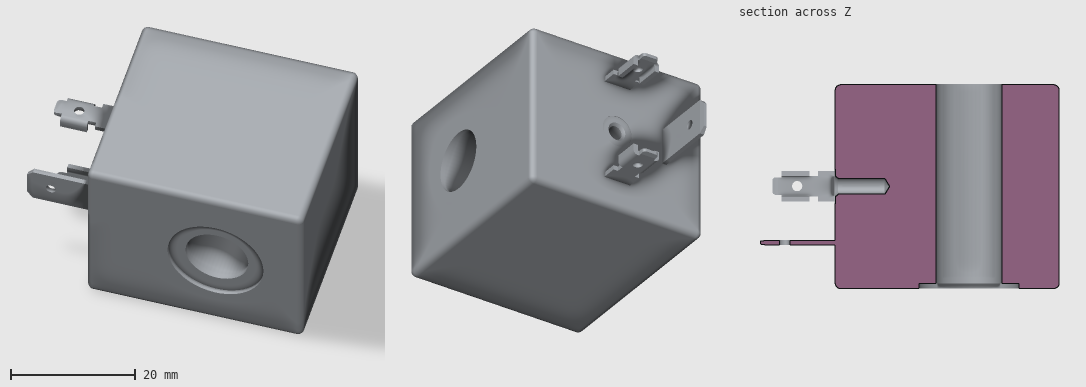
import cadquery as cq
import math


total_length = 48.0
ground_length = 12.0
block_length = total_length - ground_length
block_width = 32.8
block_height = 29.0
edge_radius = 1.0

bore_x = 21.5
bore_diameter = 10.45
recess_diameter = 16.0
recess_depth = 0.8

terminal_axis_y = 0.05

seat_diameter = 5.5
seat_depth = 0.1
screw_diameter = 2.4
screw_mouth_diameter = 3.2
screw_chamfer_depth = 0.5
screw_depth = 8.0
drill_point_angle = 118.0

terminal_offset = 9.0
sheet_thickness = 0.8
terminal_hole_diameter = 1.65
tip_thickness = 0.55
terminal_embed = 0.5

ground_width = 6.3
ground_tip_taper = 1.0
ground_hole_x = 8.0

coil_length = 10.0
coil_width = 4.9
coil_web_width = coil_width - 2 * sheet_thickness
coil_tip_width = 2.8
coil_tip_radius = 0.55
coil_tip_taper = 0.9
coil_hole_x = 6.0
base_end = 2.7
lip_start = 4.05
lip_end = 8.5
lip_height = 1.9
lip_inner_radius = 0.2


def make_block():
    return (
        cq.Workplane("XY")
        .box(block_length, block_width, block_height)
        .translate((block_length / 2, 0, 0))
        .edges()
        .fillet(edge_radius)
    )


def make_bore():
    """Through bore with a shallow recess around its -Y mouth."""
    front = cq.Workplane("XZ", origin=(bore_x, -block_width / 2, 0))
    bore = front.circle(bore_diameter / 2).extrude(-block_width)
    recess = front.circle(recess_diameter / 2).extrude(-recess_depth)
    return bore.union(recess)


def make_screw_hole():
    """Blind drilled hole with a chamfered mouth, set in a shallow round seat."""
    hole_radius = screw_diameter / 2
    point_depth = hole_radius / math.tan(math.radians(drill_point_angle / 2))
    return (
        cq.Workplane("XY")
        .moveTo(0, 0)
        .lineTo(0, seat_diameter / 2)
        .lineTo(seat_depth, seat_diameter / 2)
        .lineTo(seat_depth, screw_mouth_diameter / 2)
        .lineTo(seat_depth + screw_chamfer_depth, hole_radius)
        .lineTo(screw_depth, hole_radius)
        .lineTo(screw_depth + point_depth, 0)
        .close()
        .revolve(360, (0, 0, 0), (1, 0, 0))
        .translate((0, terminal_axis_y, 0))
    )


def strip(start, end, width):
    """Flat strip centred on the XY plane, reaching out along -X from start to end."""
    return (
        cq.Workplane("XY")
        .box(end - start, width, sheet_thickness)
        .translate((-(start + end) / 2, 0, 0))
    )


def side_taper(length, width, taper_length):
    """Side profile of a sheet whose thickness tapers at its tip, used to trim it."""
    half_sheet = sheet_thickness / 2
    half_tip = tip_thickness / 2
    shoulder = -(length - taper_length)
    return (
        cq.Workplane("XZ")
        .polyline([
            (terminal_embed, half_sheet),
            (shoulder, half_sheet),
            (-length, half_tip),
            (-length, -half_tip),
            (shoulder, -half_sheet),
            (terminal_embed, -half_sheet),
        ])
        .close()
        .extrude(width / 2, both=True)
    )


def terminal_hole(distance):
    return (
        cq.Workplane("XY", origin=(-distance, 0, -sheet_thickness))
        .circle(terminal_hole_diameter / 2)
        .extrude(2 * sheet_thickness)
    )


def make_ground_terminal():
    """Flat blade in the XZ plane with bevelled corners and a tapered tip."""
    blade = (
        strip(-terminal_embed, ground_length, ground_width)
        .edges("|Z and <X")
        .chamfer(ground_tip_taper)
        .intersect(side_taper(ground_length, ground_width, ground_tip_taper))
        .cut(terminal_hole(ground_hole_x))
    )
    return blade.rotate((0, 0, 0), (1, 0, 0), 90).translate((0, -terminal_offset, 0))


def make_lips():
    """Channel with both long edges bent down."""
    lip_length = lip_end - lip_start
    lip_middle_x = -(lip_start + lip_end) / 2
    channel_middle = (sheet_thickness - lip_height) / 2
    gap_middle = -lip_height / 2
    outer = (
        cq.Workplane("XY")
        .box(lip_length, coil_width, lip_height)
        .translate((lip_middle_x, 0, channel_middle))
        .edges("|X and >Z")
        .fillet(sheet_thickness)
    )
    gap = (
        cq.Workplane("XY")
        .box(lip_length, coil_web_width, lip_height - sheet_thickness)
        .translate((lip_middle_x, 0, gap_middle))
        .edges("|X and >Z")
        .fillet(lip_inner_radius)
    )
    return outer.cut(gap)


def make_coil_terminal():
    """Upper coil terminal, its lips pointing down towards the screw axis."""
    tip = (
        strip(lip_start, coil_length, coil_tip_width)
        .edges("|Z and <X")
        .fillet(coil_tip_radius)
        .intersect(side_taper(coil_length, coil_tip_width, coil_tip_taper))
    )
    return (
        strip(-terminal_embed, base_end, coil_width)
        .union(strip(base_end, lip_start, coil_web_width))
        .union(make_lips())
        .union(tip)
        .cut(terminal_hole(coil_hole_x))
        .translate((0, terminal_axis_y, terminal_offset))
    )


upper_terminal = make_coil_terminal()
lower_terminal = upper_terminal.mirror("XY")

result = (
    make_block()
    .cut(make_bore())
    .cut(make_screw_hole())
    .union(make_ground_terminal())
    .union(upper_terminal)
    .union(lower_terminal)
)